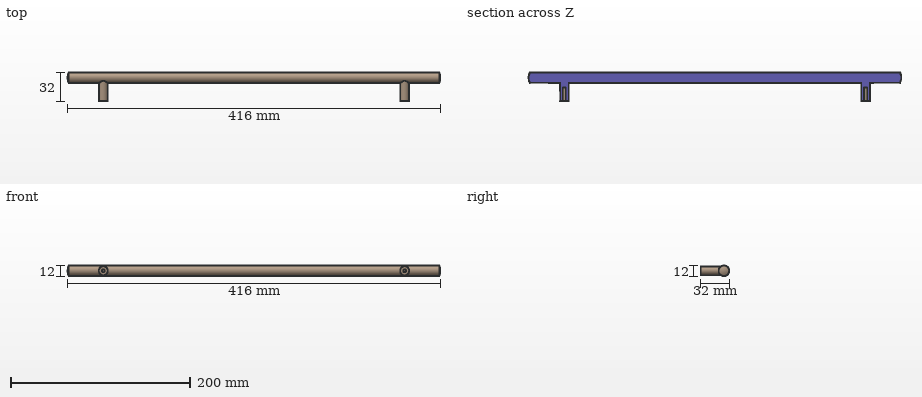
import cadquery as cq

overall_length = 416.0
overall_depth = 32.0
bar_diameter = 12.0
dome_radius = bar_diameter
post_diameter = 10.0
post_spacing = 336.0
screw_hole_diameter = 3.2
screw_hole_depth = 15.0

bar_radius = bar_diameter / 2
tip_x = overall_length / 2
dome_height = dome_radius - (dome_radius**2 - bar_radius**2) ** 0.5
shoulder_x = tip_x - dome_height
foot_y = bar_radius - overall_depth


def dome_midpoint():
    """Point on the +X dome profile halfway between the shoulder radius and the axis."""
    y = bar_radius / 2
    x = tip_x - dome_radius + (dome_radius**2 - y**2) ** 0.5
    return x, y


def make_bar():
    """Bar with spherical caps, revolved about the X axis."""
    mid_x, mid_y = dome_midpoint()
    return (
        cq.Workplane("XY")
        .moveTo(-tip_x, 0)
        .threePointArc((-mid_x, mid_y), (-shoulder_x, bar_radius))
        .lineTo(shoulder_x, bar_radius)
        .threePointArc((mid_x, mid_y), (tip_x, 0))
        .close()
        .revolve(360, (0, 0, 0), (1, 0, 0))
    )


def cylinder_from_foot(x, diameter, length):
    """Cylinder that starts at the foot plane and runs toward +Y."""
    circle = cq.Workplane("XZ", origin=(x, foot_y, 0)).circle(diameter / 2)
    return circle.extrude(-length)


result = make_bar()
for post_x in (-post_spacing / 2, post_spacing / 2):
    result = result.union(cylinder_from_foot(post_x, post_diameter, -foot_y))
    result = result.cut(cylinder_from_foot(post_x, screw_hole_diameter, screw_hole_depth))